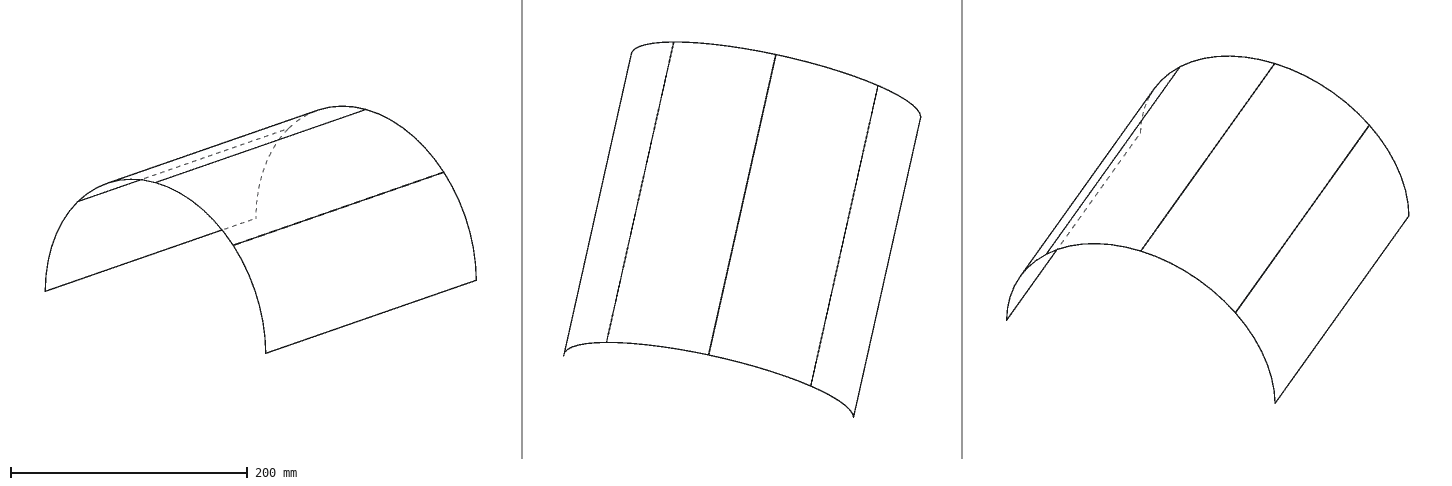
import cadquery as cq
import math

outer_radius = 125.25
thickness = 0.05
arch_length = 266.0
panel_count = 4
panel_gap = 0.1
base_height = 0.907

inner_radius = outer_radius - thickness
base_angle = math.degrees(math.asin(base_height / inner_radius))
gap_angle = math.degrees(panel_gap / outer_radius)
arch_angle = 180.0 - 2 * base_angle
panel_angle = (arch_angle - (panel_count - 1) * gap_angle) / panel_count


def arch_point(radius, angle):
    """Point in the XZ plane at a radius and angle about the arch axis."""
    turn = math.radians(angle)
    return (radius * math.cos(turn), radius * math.sin(turn))


def curved_panel(start_angle):
    """Thin cylindrical panel with radial long edges, centred along Y."""
    middle_angle = start_angle + panel_angle / 2
    end_angle = start_angle + panel_angle
    return (
        cq.Workplane("XZ")
        .moveTo(*arch_point(outer_radius, start_angle))
        .threePointArc(arch_point(outer_radius, middle_angle), arch_point(outer_radius, end_angle))
        .lineTo(*arch_point(inner_radius, end_angle))
        .threePointArc(arch_point(inner_radius, middle_angle), arch_point(inner_radius, start_angle))
        .close()
        .extrude(arch_length / 2, both=True)
    )


panels = []
for index in range(panel_count):
    panel = curved_panel(base_angle + index * (panel_angle + gap_angle))
    panels.append(panel.val())

result = cq.Compound.makeCompound(panels)